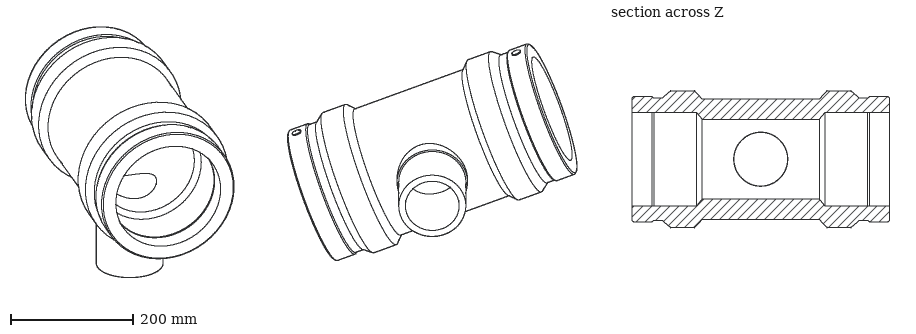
import cadquery as cq

length = 422.0
half_length = length / 2
bottom_z = -219.0

end_diameter = 227.85
neck_diameter = 223.29
bulge_diameter = 245.0
middle_diameter = 220.5

socket_bore = 180.0
middle_bore = 162.0

end_band_finish = 33.1
bulge_slope_start = 49.4
bulge_start = 63.3
bulge_finish = 102.75
bulge_slope_finish = bulge_finish + (bulge_diameter - middle_diameter) / 2
end_chamfer = (end_diameter - neck_diameter) / 2

socket_depth = bulge_slope_finish - (socket_bore - middle_bore) / 2

groove_start = 33.0
groove_finish = 36.0
groove_depth = 0.1
groove_diameter = socket_bore + 2 * groove_depth

branch_diameter = 110.0
branch_bore = 88.0
collar_diameter = 115.5
collar_bottom_z = -bulge_diameter / 2

terminal_diameter = 15.0
terminal_tip_y = 115.7
terminal_inset = 17.5
terminal_root_y = (socket_bore + end_diameter) / 4


def revolve_about_x(half_profile):
    """Revolve (distance from end face, diameter) points, mirrored about X = 0, about the X axis."""
    left = [(inset - half_length, diameter / 2) for inset, diameter in half_profile]
    right = [(-x, radius) for x, radius in reversed(left)]
    outline = [(-half_length, 0)] + left + right + [(half_length, 0)]
    return cq.Workplane("XY").polyline(outline).close().revolve(360, (0, 0, 0), (1, 0, 0))


def run_outside():
    """Solid run with chamfered end bands and two conical-shouldered bulges."""
    return revolve_about_x([
        (0, neck_diameter),
        (end_chamfer, end_diameter),
        (end_band_finish, end_diameter),
        (end_band_finish + end_chamfer, neck_diameter),
        (bulge_slope_start, neck_diameter),
        (bulge_start, bulge_diameter),
        (bulge_finish, bulge_diameter),
        (bulge_slope_finish, middle_diameter),
    ])


def run_bore():
    """Through bore: wide grooved sockets that taper to the narrower middle."""
    return revolve_about_x([
        (0, socket_bore),
        (groove_start, socket_bore),
        (groove_start, groove_diameter),
        (groove_finish, groove_diameter),
        (groove_finish, socket_bore),
        (socket_depth, socket_bore),
        (bulge_slope_finish, middle_bore),
    ])


def downward_cylinder(diameter, end_z):
    """Cylinder from the run axis down to end_z."""
    return cq.Workplane("XY").circle(diameter / 2).extrude(end_z)


def terminal(x):
    """Short round boss standing out of the run wall toward +Y."""
    return (
        cq.Workplane("XZ", origin=(x, terminal_root_y, 0))
        .circle(terminal_diameter / 2)
        .extrude(terminal_root_y - terminal_tip_y)
    )


body = run_outside()
body = body.union(downward_cylinder(collar_diameter, collar_bottom_z))
body = body.union(downward_cylinder(branch_diameter, bottom_z))
for side in (-1, 1):
    body = body.union(terminal(side * (half_length - terminal_inset)))

result = body.cut(run_bore()).cut(downward_cylinder(branch_bore, bottom_z))